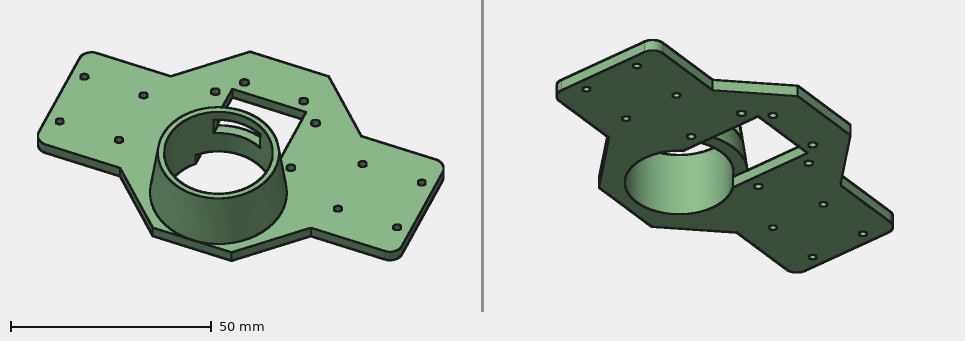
import cadquery as cq

length = 98.0
depth = 63.0
thickness = 3.2
wing_depth = 32.8
wing_corner_radius = 3.2
centre_end_width = 21.3

collar_height = 15.0
collar_base_radius = 17.1
collar_top_radius = 15.1
bore_diameter = 27.0
collar_y = collar_base_radius - depth / 2

slot_width = 12.5
slot_height = 5.0
slot_top_margin = 3.0

window_width = 19.9
window_back_y = 18.4

hole_pitch = 16.0
wing_hole_diameter = 2.0
wing_hole_x = 37.5
window_hole_diameter = 2.2
side_hole_x = 13.5
back_hole_y = 21.6


def make_plate():
    """Wing plus octagon; the octagon's sloping edges run at 45 degrees."""
    wing = (
        cq.Workplane("XY")
        .rect(length, wing_depth)
        .extrude(thickness)
        .edges("|Z")
        .fillet(wing_corner_radius)
    )
    end_x = centre_end_width / 2
    end_y = depth / 2
    shoulder_y = wing_depth / 2
    shoulder_x = end_x + end_y - shoulder_y
    centre = (
        cq.Workplane("XY")
        .polyline([
            (end_x, end_y),
            (shoulder_x, shoulder_y),
            (shoulder_x, -shoulder_y),
            (end_x, -end_y),
            (-end_x, -end_y),
            (-shoulder_x, -shoulder_y),
            (-shoulder_x, shoulder_y),
            (-end_x, end_y),
        ])
        .close()
        .extrude(thickness)
    )
    return wing.union(centre)


def make_window():
    """Cutter from the back of the window to the centre of the bore."""
    return (
        cq.Workplane("XY")
        .center(0, (window_back_y + collar_y) / 2)
        .rect(window_width, window_back_y - collar_y)
        .extrude(thickness)
    )


def make_collar():
    return (
        cq.Workplane("XY", origin=(0, collar_y, thickness))
        .circle(collar_base_radius)
        .workplane(offset=collar_height)
        .circle(collar_top_radius)
        .loft(ruled=True)
    )


def make_bore():
    return (
        cq.Workplane("XY", origin=(0, collar_y, 0))
        .circle(bore_diameter / 2)
        .extrude(thickness + collar_height)
    )


def make_slot():
    """Cutter from the bore axis out through the back wall only."""
    slot_bottom = thickness + collar_height - slot_top_margin - slot_height
    return (
        cq.Workplane("XY", origin=(0, collar_y + collar_base_radius / 2, slot_bottom))
        .rect(slot_width, collar_base_radius)
        .extrude(slot_height)
    )


def make_holes(points, diameter):
    return cq.Workplane("XY").pushPoints(points).circle(diameter / 2).extrude(thickness)


half_pitch = hole_pitch / 2
wing_holes = [
    (side * wing_hole_x + dx, dy)
    for side in (-1, 1)
    for dx in (-half_pitch, half_pitch)
    for dy in (-half_pitch, half_pitch)
]
window_holes = []
for side in (-1, 1):
    window_holes.append((side * half_pitch, back_hole_y))
    window_holes.append((side * side_hole_x, hole_pitch))
    window_holes.append((side * side_hole_x, 0))

result = (
    make_plate()
    .cut(make_window())
    .union(make_collar())
    .cut(make_bore())
    .cut(make_slot())
    .cut(make_holes(wing_holes, wing_hole_diameter))
    .cut(make_holes(window_holes, window_hole_diameter))
)